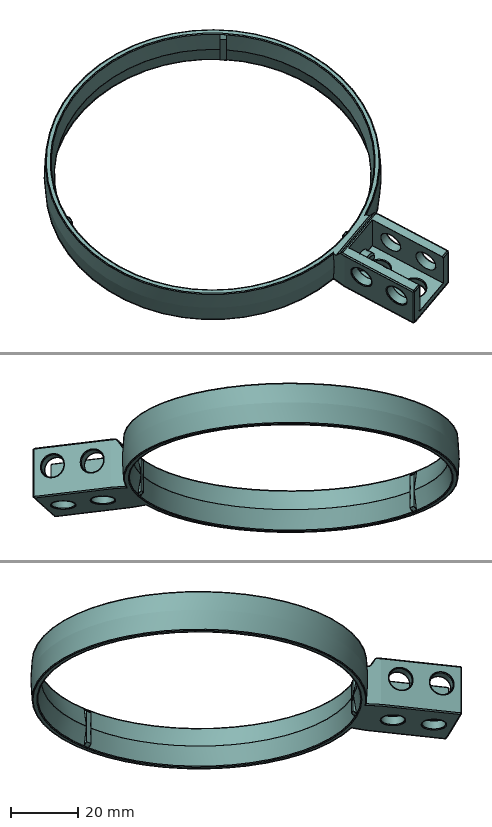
import cadquery as cq

overall_length = 128.1

ring_diameter = 100.0
ring_radius = ring_diameter / 2
ring_height = 12.7
mid_height = ring_height / 2
ring_thickness = 3.1
face_taper = 0.4
rim_width = 1.7
bore_radius = ring_radius - ring_thickness
rim_outer = ring_radius - face_taper
rim_inner = rim_outer - rim_width
rim_chamfer = 0.3

rib_count = 3
rib_width = 1.9
rib_proud = 0.06
rib_face = bore_radius - rib_proud
rib_chamfer = rim_inner - rib_face

bracket_end = overall_length - ring_radius
bracket_width = 18.7
bracket_height = 15.6
wall = 3.1
bracket_chamfer = 0.4
tray_start = 52.8

neck_start = 48.7
neck_width = 17.4
neck_end = 53.3
slope_start = 50
slope_end = 51.9

hole_count = 2
hole_diameter = 7.0
hole_chamfer = 0.3
hole_pitch = 12.5
first_hole_x = 59.3
tray_mid_height = (wall + bracket_height) / 2

boss_diameter = 6.9
boss_length = 3.1
boss_chamfer = 0.5


def make_ring():
    section = [
        (rim_inner, 0),
        (rim_outer, 0),
        (ring_radius, mid_height),
        (rim_outer, ring_height),
        (rim_inner, ring_height),
        (bore_radius, mid_height),
    ]
    ring = cq.Workplane("XZ").polyline(section).close().revolve(360, (0, 0), (0, 1))
    return ring.faces("<Z or >Z").edges().chamfer(rim_chamfer)


def make_rib():
    """Upright rib on the +X side of the bore, bevelled back to the rims at both ends."""
    root = (rim_inner + rim_outer) / 2
    bottom = rim_chamfer
    top = ring_height - rim_chamfer
    profile = [
        (root, bottom),
        (rim_inner, bottom),
        (rib_face, bottom + rib_chamfer),
        (rib_face, top - rib_chamfer),
        (rim_inner, top),
        (root, top),
    ]
    return cq.Workplane("XZ").polyline(profile).close().extrude(rib_width / 2, both=True)


def make_bracket_block():
    """Solid bracket: a neck that widens and rises to the full tray size."""
    plan = [
        (neck_start, -neck_width / 2),
        (neck_end, -bracket_width / 2),
        (bracket_end, -bracket_width / 2),
        (bracket_end, bracket_width / 2),
        (neck_end, bracket_width / 2),
        (neck_start, neck_width / 2),
    ]
    side = [
        (neck_start, 0),
        (bracket_end, 0),
        (bracket_end, bracket_height),
        (slope_end, bracket_height),
        (slope_start, ring_height),
        (neck_start, ring_height),
    ]
    block = cq.Workplane("XY").polyline(plan).close().extrude(bracket_height)
    side_shape = cq.Workplane("XZ").polyline(side).close().extrude(bracket_width, both=True)
    block = block.intersect(side_shape)
    return block.faces(">X or >Z or <Z").edges("not <X").chamfer(bracket_chamfer)


def cut_tray(bracket):
    length = bracket_end - tray_start
    pocket = cq.Workplane("XY").box(
        length, bracket_width - 2 * wall, bracket_height, centered=(False, True, False)
    )
    return bracket.cut(pocket.translate((tray_start, 0, wall)))


def make_countersink(plane, origin):
    """Shallow cone that breaks the mouth of a hole; it opens against the plane's normal."""
    mouth = cq.Workplane(plane, origin=origin).circle(hole_diameter / 2 + hole_chamfer)
    return mouth.workplane(offset=hole_chamfer).circle(hole_diameter / 2).loft()


def cut_holes(bracket):
    half_width = bracket_width / 2
    for index in range(hole_count):
        x = first_hole_x + index * hole_pitch
        floor_hole = cq.Workplane("XY").center(x, 0).circle(hole_diameter / 2).extrude(wall)
        side_hole = (
            cq.Workplane("XZ")
            .center(x, tray_mid_height)
            .circle(hole_diameter / 2)
            .extrude(bracket_width, both=True)
        )
        bracket = bracket.cut(floor_hole).cut(side_hole)
        bracket = bracket.cut(make_countersink("XY", (x, 0, 0)))
        bracket = bracket.cut(make_countersink("YX", (x, 0, wall)))
        bracket = bracket.cut(make_countersink("ZX", (x, -half_width, tray_mid_height)))
        bracket = bracket.cut(make_countersink("XZ", (x, half_width, tray_mid_height)))
    return bracket


def make_boss():
    embed = wall / 4
    boss = (
        cq.Workplane("YZ", origin=(tray_start - embed, 0, wall))
        .circle(boss_diameter / 2)
        .extrude(boss_length + embed)
        .faces(">X")
        .chamfer(boss_chamfer)
    )
    upper_half = cq.Workplane("XY", origin=(tray_start, 0, wall - embed)).box(
        bracket_width, bracket_width, bracket_height, centered=(True, True, False)
    )
    return boss.intersect(upper_half)


bracket = cut_holes(cut_tray(make_bracket_block())).union(make_boss())
result = make_ring().union(bracket)
for index in range(rib_count):
    turn = index * 360 / rib_count
    result = result.union(make_rib().rotate((0, 0, 0), (0, 0, 1), turn))